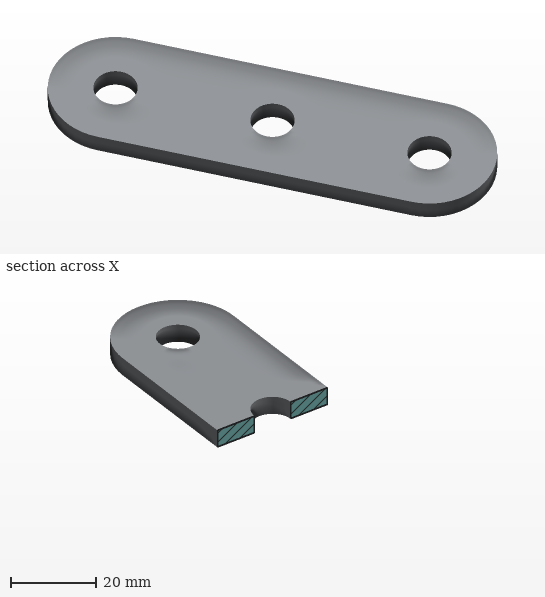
import cadquery as cq

length = 108.0
width = 31.7
thickness = 4.7
hole_diameter = 10.4

hole_pitch = (length - width) / 2
hole_centers = [(-hole_pitch, 0), (0, 0), (hole_pitch, 0)]

strap = cq.Workplane("XY").slot2D(length, width).extrude(thickness)

result = (
    strap.faces(">Z")
    .workplane(origin=(0, 0, thickness))
    .pushPoints(hole_centers)
    .hole(hole_diameter)
)